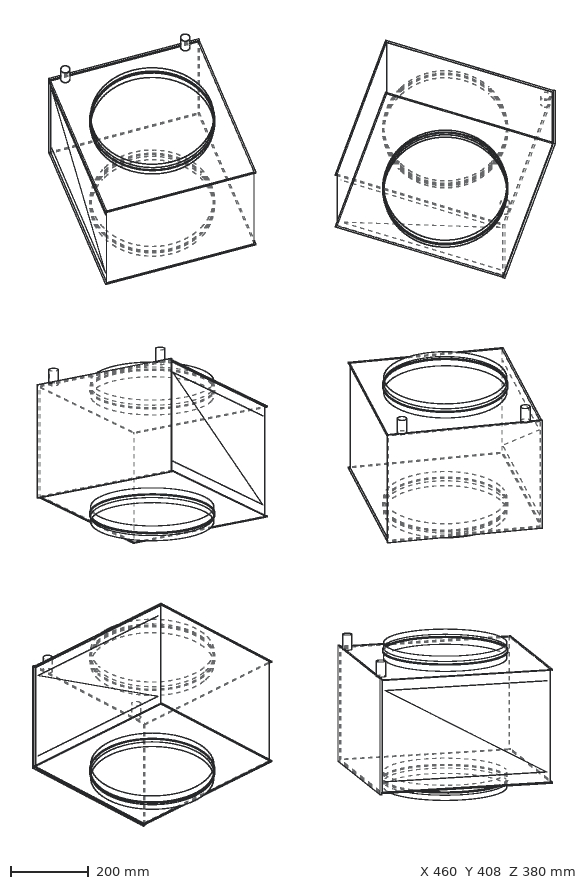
import cadquery as cq
import math

length = 460.0
depth = 408.0
height = 380.0

casing_height = 300.0
plate_thickness = 2.0
overhang = 4.0
lip_width = 1.0
lip_drop = 1.5
cover_gap = 1.5
rim_width = 1.5
rim_depth = 0.5

cover_thickness = 5.0
cover_height = 305.5

spigot_diameter = 318.0
spigot_wall = 1.5
bead_projection = 2.8
bead_start = 14.0
bead_peak = 20.0
bead_end = 23.0

pipe_diameter = 25.0
pipe_wall = 1.5
pipe_spacing = 325.0
pipe_to_end = 14.0

strip_width = 1.0
strip_thickness = 0.25
strip_length = 431.5
strip_height = 241.0

casing_top = casing_height / 2
open_end = height / 2
cover_right = -length / 2 + cover_thickness
wall_left = cover_right + cover_gap
wall_right = length / 2 - overhang
wall_front = depth / 2 - overhang
panel_front = wall_front - rim_depth
pipe_x = -length / 2 + pipe_to_end
pipe_positions = [(pipe_x, side * pipe_spacing / 2) for side in (-1, 1)]


def make_walls():
    """Box between the flange plates, its front and back panels sunk inside a narrow rim."""
    wall_length = wall_right - wall_left
    wall_middle = (wall_left + wall_right) / 2
    wall_height = casing_height - 2 * plate_thickness
    walls = cq.Workplane("XY").box(wall_length, 2 * wall_front, wall_height)
    for face in ("<Y", ">Y"):
        walls = (
            walls.faces(face)
            .workplane(centerOption="CenterOfBoundBox")
            .rect(wall_length - 2 * rim_width, wall_height - 2 * rim_width)
            .cutBlind(-rim_depth)
        )
    return walls.translate((wall_middle, 0, 0))


def make_flange_plate():
    """Upper flange plate, overhanging the walls, with its right edge turned down into a short lip."""
    plate_bottom = casing_top - plate_thickness
    lip_bottom = plate_bottom - lip_drop
    plate_right = length / 2
    lip_left = plate_right - lip_width
    section = [
        (cover_right, casing_top),
        (plate_right, casing_top),
        (plate_right, lip_bottom),
        (lip_left, lip_bottom),
        (lip_left, plate_bottom),
        (cover_right, plate_bottom),
    ]
    return cq.Workplane("XZ").polyline(section).close().extrude(depth / 2, both=True)


def make_casing():
    top_plate = make_flange_plate()
    return make_walls().union(top_plate).union(top_plate.mirror("XY"))


def make_cover():
    """End cover, standing above the casing and notched where the pipes pass its top edge."""
    cover = cq.Workplane("XY").box(cover_thickness, depth, cover_height)
    cover = cover.translate((cover_right - cover_thickness / 2, 0, 0))
    notches = (
        cq.Workplane("XY", origin=(0, 0, casing_top))
        .pushPoints(pipe_positions)
        .circle(pipe_diameter / 2)
        .extrude(cover_height)
    )
    return cover.cut(notches)


def make_spigot():
    """Upper spigot: a thin tube with a rolled bead that slopes out and steps back in."""
    outer = spigot_diameter / 2
    inner = outer - spigot_wall
    bead_outer = outer + bead_projection
    bead_inner = bead_outer - spigot_wall
    start_z = open_end - bead_start
    peak_z = open_end - bead_peak
    end_z = open_end - bead_end
    wall_profile = [
        (-outer, casing_top),
        (-outer, end_z),
        (-bead_outer, end_z),
        (-bead_outer, peak_z),
        (-outer, start_z),
        (-outer, open_end),
        (-inner, open_end),
        (-inner, start_z),
        (-bead_inner, peak_z),
        (-bead_inner, end_z + spigot_wall),
        (-inner, end_z + spigot_wall),
        (-inner, casing_top),
    ]
    return cq.Workplane("XZ").polyline(wall_profile).close().revolve(360, (0, 0), (0, 1))


def make_pipe(x, y):
    """Open pipe standing on the upper flange plate."""
    outer = pipe_diameter / 2
    return (
        cq.Workplane("XY", origin=(x, y, casing_top))
        .circle(outer)
        .circle(outer - pipe_wall)
        .extrude(open_end - casing_top)
    )


def make_strip():
    """Flat Z of even width: two level bars joined by a diagonal."""
    right = strip_length / 2
    top = strip_height / 2
    bar_inside = top - strip_width
    diagonal_width = strip_width / math.sin(math.atan2(strip_height, strip_length))
    outline = [
        (-right, top),
        (right, top),
        (right, bar_inside),
        (-right + diagonal_width, bar_inside),
        (right, -top),
        (-right, -top),
        (-right, -bar_inside),
        (right - diagonal_width, -bar_inside),
    ]
    panel_plane = cq.Workplane("XZ", origin=(0, -panel_front, 0))
    return panel_plane.polyline(outline).close().extrude(strip_thickness)


casing = make_casing()
cover = make_cover()
top_spigot = make_spigot()
bottom_spigot = top_spigot.mirror("XY")
pipes = [make_pipe(x, y) for x, y in pipe_positions]
strip = make_strip()

result = cq.Compound.makeCompound(
    [
        casing.val(),
        cover.val(),
        top_spigot.val(),
        bottom_spigot.val(),
        *[pipe.val() for pipe in pipes],
        strip.val(),
    ]
)